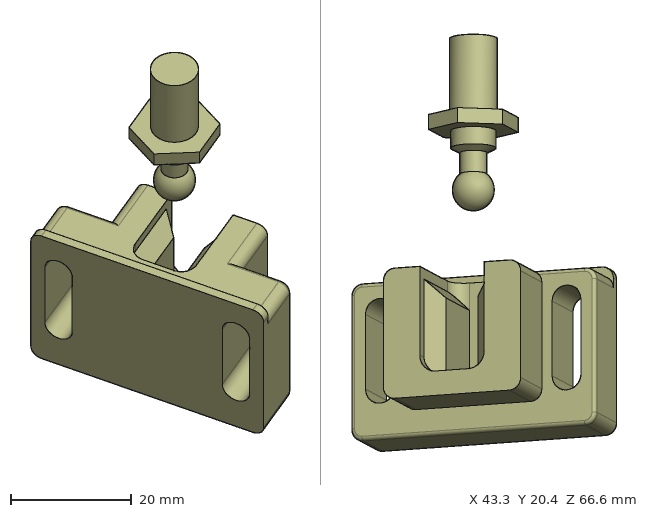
import cadquery as cq


plate_length = 43.3
plate_height = 28.25
plate_thickness = 1.6
corner_radius = 2.0
base_height = 26.6
base_depth = 10.1
base_rim_radius = 0.65
tower_width = 24.25
tower_bottom = 4.5
bracket_depth = 20.4

slot_width = 5.05
slot_length = 17.7
slot_spacing = 33.0
slot_center_height = 14.9

socket_width = 11.4
socket_radius = 2.85
socket_end = 4.05
socket_floor = 8.65
shelf_depth = 1.8
shelf_lead_in = 2.05
shelf_width = socket_radius

stud_top = 66.6
shank_diameter = 8.0
hex_across_flats = 13.1
hex_top = 53.55
hex_bottom = 51.0
collar_diameter = 7.5
collar_bottom = 48.1
neck_top = 47.3
neck_diameter = 4.5
ball_diameter = 7.0
ball_center_height = 41.0
stud_y = 10.05


def box_between(x_range, y_range, z_range):
    """Box given by its lower and upper limit on each axis."""
    (x0, x1), (y0, y1), (z0, z1) = x_range, y_range, z_range
    return cq.Workplane("XY").box(x1 - x0, y1 - y0, z1 - z0, centered=False).translate((x0, y0, z0))


def rounded_block(width, bottom, top, depth):
    """Block centred on X = 0, from Y = 0 to depth, with its edges along Y rounded."""
    block = box_between((-width / 2, width / 2), (0, depth), (bottom, top))
    return block.edges("|Y").fillet(corner_radius)


def make_mounting_slots():
    return (
        cq.Workplane("XZ", origin=(0, 0, slot_center_height))
        .rarray(slot_spacing, 0.65, 2, 1)
        .slot2D(slot_length, slot_width, 90)
        .extrude(-base_depth)
    )


def make_shelf(side):
    """Block beside the socket, with a 45 degree top and a 45 degree lead-in at the back."""
    wall_x = side * socket_width / 2
    inner_x = wall_x - side * shelf_width
    shelf_top = base_height - shelf_depth
    shelf_back = bracket_depth - shelf_lead_in
    profile = (
        cq.Workplane("XZ")
        .polyline([
            (wall_x, socket_floor),
            (inner_x, socket_floor),
            (inner_x, shelf_top - shelf_width),
            (wall_x, shelf_top),
        ])
        .close()
        .extrude(-bracket_depth)
    )
    plan = (
        cq.Workplane("XY")
        .polyline([
            (wall_x, 0),
            (inner_x, 0),
            (inner_x, shelf_back - shelf_width),
            (wall_x, shelf_back),
        ])
        .close()
        .extrude(base_height)
    )
    return profile.intersect(plan)


def make_socket():
    """Space cut from the tower: rounded at its closed end and along its floor."""
    half_width = socket_width / 2
    x_range = (-half_width, half_width)
    open_end = bracket_depth + socket_radius
    open_top = base_height + socket_radius
    plan = box_between(x_range, (socket_end, open_end), (socket_floor, open_top))
    plan = plan.edges("|Z and <Y").fillet(socket_radius)
    section = box_between(x_range, (0, open_end), (socket_floor, open_top))
    section = section.edges("|Y and <Z").fillet(socket_radius)
    socket = plan.intersect(section)
    for side in (-1, 1):
        socket = socket.cut(make_shelf(side))
    return socket


def make_bracket():
    plate = rounded_block(plate_length, 0, plate_height, plate_thickness)
    base = rounded_block(plate_length, 0, base_height, base_depth)
    base = base.faces(">Y").fillet(base_rim_radius)
    tower = rounded_block(tower_width, tower_bottom, base_height, bracket_depth)
    body = plate.union(base).union(tower)
    return body.cut(make_mounting_slots()).cut(make_socket())


def make_ball_stud():
    axis = cq.Workplane("XY", origin=(0, stud_y, 0))
    shank = axis.workplane(offset=hex_top).circle(shank_diameter / 2).extrude(stud_top - hex_top)
    hexagon = (
        axis.workplane(offset=hex_bottom)
        .polygon(6, hex_across_flats, circumscribed=True)
        .extrude(hex_top - hex_bottom)
    )
    collar = axis.workplane(offset=collar_bottom).circle(collar_diameter / 2).extrude(hex_bottom - collar_bottom)
    taper = (
        axis.workplane(offset=neck_top)
        .circle(neck_diameter / 2)
        .workplane(offset=collar_bottom - neck_top)
        .circle(collar_diameter / 2)
        .loft()
    )
    neck = axis.workplane(offset=ball_center_height).circle(neck_diameter / 2).extrude(neck_top - ball_center_height)
    ball = axis.workplane(offset=ball_center_height).sphere(ball_diameter / 2)
    return shank.union(hexagon).union(collar).union(taper).union(neck).union(ball)


bracket = make_bracket()
ball_stud = make_ball_stud()

result = cq.Compound.makeCompound([bracket.val(), ball_stud.val()])